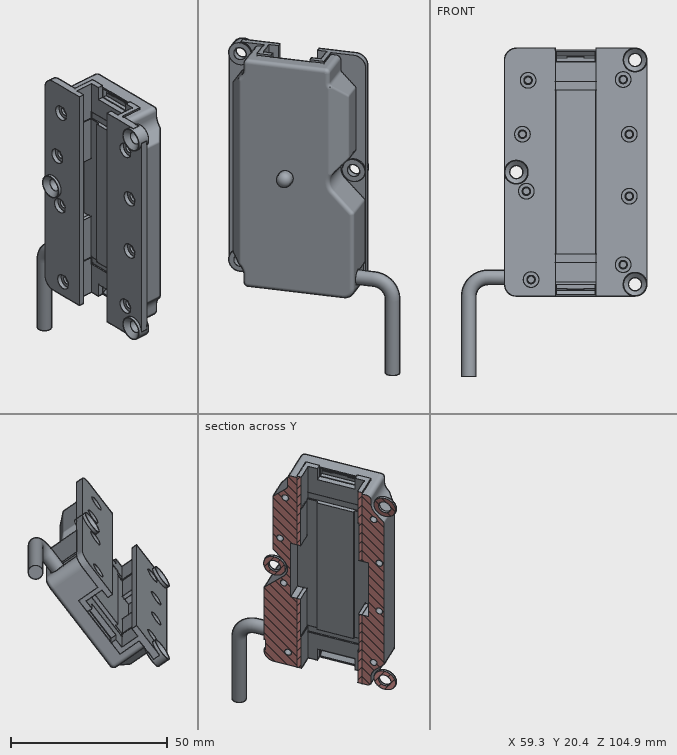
import cadquery as cq
import math


LENGTH = 79.25
HALF_LENGTH = LENGTH / 2
HALF_WIDTH = 22.8
FLANGE_THICKNESS = 2.4
LIP_THICKNESS = 1.85
SLOT_HALF_WIDTH = 6.5
CHANNEL_HALF_WIDTH = 9.65
CHANNEL_FLOOR = 8.15
BRACKET_BACK = 10.0
BRACKET_OUTER_HALF_WIDTH = 11.2
CORNER_RADIUS = 4.0
WALL_RELIEF_HALF_WIDTH = 9.95
WALL_RELIEF_HALF_LENGTH = 26.4
FLOOR_WINDOW_HALF_LENGTH = 28.9
SIDE_WINDOW_HALF_LENGTH = 11.0
END_NOTCH_HALF_WIDTH = 6.45
END_NOTCH_START = 35.1

BUSHING_RADIUS = 3.8
BUSHING_X = 18.95
BUSHING_Z = 35.8
BUSHING_FRONT = -1.05
BUSHING_BACK = 3.15
BUSHING_HOLE_RADIUS = 2.05
COUNTERSINK_RADIUS = 3.65
COUNTERSINK_DEPTH = COUNTERSINK_RADIUS - BUSHING_HOLE_RADIUS
BUSHING_CENTERS = [(-BUSHING_X, 0), (BUSHING_X, BUSHING_Z), (BUSHING_X, -BUSHING_Z)]

COUNTERBORE_RADIUS = 2.5
COUNTERBORE_DEPTH = 1.5
SCREW_HOLE_RADIUS = 1.35
PILOT_RADIUS = 1.1
PILOT_DEPTH = 6.0
SCREW_CENTERS = [
    (-15.2, 29.3), (-17.0, 12.1), (-15.75, -6.1), (-14.25, -34.3),
    (15.15, 29.55), (17.1, 12.1), (17.1, -7.7), (15.15, -29.55),
]

HOUSING_BACK = 15.1
HOUSING_TOP = 39.0
HOUSING_BOTTOM = -HALF_LENGTH
HOUSING_MIDDLE = (HOUSING_TOP + HOUSING_BOTTOM) / 2
HOUSING_LEFT = 22.6
LEFT_NECK = 14.5
RIGHT_NECK = 14.3
LEFT_BULGE = 19.6
RIGHT_BULGE = 18.8
BULGE_TOP = 28.6
LEFT_RELIEF_RADIUS = BUSHING_X - LEFT_NECK
RIGHT_RELIEF_RADIUS = BUSHING_X - RIGHT_NECK
TOP_CORNER_RADIUS = 1.5
BOTTOM_CORNER_RADIUS = 3.5
BULGE_EDGE_RADIUS = 1.0
REAR_EDGE_RADIUS = 1.3
RIGHT_BEVEL_START = 15.3

GROOVE_FACE = 8.7
PANEL_HALF_LENGTH = 26.15
PAD_HALF_WIDTH = 6.35
PAD_FACE = 7.35
SIDE_POCKET_HALF_WIDTH = 13.3

POCKET_HALF_WIDTH = 6.2
POCKET_DEPTH = 1.4
POCKET_MOUTH_END = 38.5
POCKET_START = 35.3
CONTACT_SLOT_CENTER = 36.75
CONTACT_SLOT_HEIGHT = 0.6
CONTACT_SLOT_DEPTH = 0.5
CONTACT_BRIDGE_HALF_WIDTH = 2.7
CONTACT_BRIDGE_HEIGHT = 0.3

CABLE_RADIUS = 2.35
CABLE_Y = 10.25
CABLE_Z = -33.6
CABLE_BEND_RADIUS = 6.1
CABLE_LEFT = -36.5
CABLE_BOTTOM = -65.315
CABLE_SEAT_RADIUS = 2.6
CABLE_SEAT_DEPTH = 0.5
CABLE_SLOT_HALF_HEIGHT = 2.1

DOME_RADIUS = 2.5
DOME_TOP = 19.33


def block(x0, x1, y0, y1, z0, z1):
    return cq.Workplane("XY").box(x1 - x0, y1 - y0, z1 - z0, centered=False).translate((x0, y0, z0))


def centered_block(half_width, y0, y1, half_length):
    return block(-half_width, half_width, y0, y1, -half_length, half_length)


def rod_y(center, radius, y0, y1):
    """Cylinder along Y at an (x, z) center."""
    x, z = center
    return cq.Workplane(cq.Solid.makeCylinder(radius, y1 - y0, cq.Vector(x, y0, z), cq.Vector(0, 1, 0)))


def prism_y(outline, y0, y1):
    """Extrude an outline drawn on the XZ plane from y0 to y1."""
    return outline.extrude(-(y1 - y0)).translate((0, y0, 0))


def make_bracket():
    outer_half = [
        (SLOT_HALF_WIDTH, 0), (HALF_WIDTH, 0), (HALF_WIDTH, FLANGE_THICKNESS),
        (BRACKET_OUTER_HALF_WIDTH, FLANGE_THICKNESS), (BRACKET_OUTER_HALF_WIDTH, BRACKET_BACK),
    ]
    inner_half = [
        (CHANNEL_HALF_WIDTH, CHANNEL_FLOOR), (CHANNEL_HALF_WIDTH, LIP_THICKNESS),
        (SLOT_HALF_WIDTH, LIP_THICKNESS),
    ]
    right_side = inner_half + outer_half
    left_side = [(-x, y) for x, y in reversed(right_side)]
    body = cq.Workplane("XY").polyline(right_side + left_side).close().extrude(LENGTH)
    body = body.translate((0, 0, -HALF_LENGTH))
    for z in (-HALF_LENGTH, HALF_LENGTH):
        left_corner = cq.NearestToPointSelector((-HALF_WIDTH, FLANGE_THICKNESS / 2, z))
        body = body.edges("|Y").edges(left_corner).fillet(CORNER_RADIUS)
    for z0, z1 in ((BUSHING_Z, HALF_LENGTH), (-HALF_LENGTH, -BUSHING_Z)):
        body = body.cut(block(BUSHING_X, HALF_WIDTH, 0, FLANGE_THICKNESS, z0, z1))

    body = body.cut(centered_block(
        WALL_RELIEF_HALF_WIDTH, LIP_THICKNESS, CHANNEL_FLOOR, WALL_RELIEF_HALF_LENGTH))
    body = body.cut(centered_block(
        WALL_RELIEF_HALF_WIDTH, CHANNEL_FLOOR, BRACKET_BACK, FLOOR_WINDOW_HALF_LENGTH))
    body = body.cut(centered_block(
        BRACKET_OUTER_HALF_WIDTH, FLANGE_THICKNESS, BRACKET_BACK, SIDE_WINDOW_HALF_LENGTH))
    for z0, z1 in ((END_NOTCH_START, HALF_LENGTH), (-HALF_LENGTH, -END_NOTCH_START)):
        body = body.cut(block(
            -END_NOTCH_HALF_WIDTH, END_NOTCH_HALF_WIDTH, CHANNEL_FLOOR, BRACKET_BACK, z0, z1))
    for center in SCREW_CENTERS:
        body = body.cut(rod_y(center, SCREW_HOLE_RADIUS, 0, FLANGE_THICKNESS))
        body = body.cut(rod_y(center, COUNTERBORE_RADIUS, 0, COUNTERBORE_DEPTH))
    for center in BUSHING_CENTERS:
        body = body.cut(rod_y(center, BUSHING_RADIUS, 0, FLANGE_THICKNESS))
    return body


def make_bushing(center):
    x, z = center
    profile = [
        (BUSHING_HOLE_RADIUS, BUSHING_FRONT + COUNTERSINK_DEPTH), (COUNTERSINK_RADIUS, BUSHING_FRONT),
        (BUSHING_RADIUS, BUSHING_FRONT), (BUSHING_RADIUS, BUSHING_BACK), (BUSHING_HOLE_RADIUS, BUSHING_BACK),
    ]
    ring = cq.Workplane("XY").polyline(profile).close().revolve(360, (0, 0), (0, 1))
    return ring.translate((x, 0, z))


def make_housing_shell():
    """Solid outer form with 45-degree flanks and round reliefs around the bushings."""
    left_offset = LEFT_RELIEF_RADIUS * math.sqrt(0.5)
    left_arc_x = BUSHING_X - left_offset
    lower_slope_end = -left_offset - (HOUSING_LEFT - left_arc_x)
    left_bulge_bottom = left_offset + LEFT_BULGE - left_arc_x
    left_bulge_neck = BULGE_TOP + LEFT_BULGE - LEFT_NECK

    right_offset = RIGHT_RELIEF_RADIUS * math.sqrt(0.5)
    right_arc_x = BUSHING_X - right_offset
    right_arc_z = BUSHING_Z - right_offset
    right_bulge_end = right_arc_z - (RIGHT_BULGE - right_arc_x)
    right_middle_x = BUSHING_X - RIGHT_RELIEF_RADIUS * math.cos(math.pi / 8)
    right_middle_z = BUSHING_Z - RIGHT_RELIEF_RADIUS * math.sin(math.pi / 8)
    outline = (
        cq.Workplane("XZ")
        .moveTo(-HOUSING_LEFT, HOUSING_BOTTOM)
        .lineTo(-HOUSING_LEFT, lower_slope_end)
        .lineTo(-left_arc_x, -left_offset)
        .threePointArc((-LEFT_NECK, 0), (-left_arc_x, left_offset))
        .lineTo(-LEFT_BULGE, left_bulge_bottom)
        .lineTo(-LEFT_BULGE, BULGE_TOP)
        .lineTo(-LEFT_NECK, left_bulge_neck)
        .lineTo(-LEFT_NECK, HOUSING_TOP)
        .lineTo(RIGHT_NECK, HOUSING_TOP)
        .lineTo(RIGHT_NECK, BUSHING_Z)
        .threePointArc((right_middle_x, right_middle_z), (right_arc_x, right_arc_z))
        .lineTo(RIGHT_BULGE, right_bulge_end)
        .lineTo(RIGHT_BULGE, -right_bulge_end)
        .lineTo(right_arc_x, -right_arc_z)
        .threePointArc((right_middle_x, -right_middle_z), (RIGHT_NECK, -BUSHING_Z))
        .lineTo(RIGHT_NECK, HOUSING_BOTTOM)
        .close()
    )
    shell = prism_y(outline, FLANGE_THICKNESS, HOUSING_BACK)
    rounded_corners = [
        (-HOUSING_LEFT, HOUSING_BOTTOM, BOTTOM_CORNER_RADIUS),
        (-HOUSING_LEFT, lower_slope_end, REAR_EDGE_RADIUS),
        (-LEFT_BULGE, left_bulge_bottom, BULGE_EDGE_RADIUS),
        (-LEFT_BULGE, BULGE_TOP, BULGE_EDGE_RADIUS),
        (-LEFT_NECK, left_bulge_neck, TOP_CORNER_RADIUS),
        (-LEFT_NECK, HOUSING_TOP, TOP_CORNER_RADIUS),
        (RIGHT_NECK, HOUSING_TOP, TOP_CORNER_RADIUS),
        (RIGHT_NECK, HOUSING_BOTTOM, TOP_CORNER_RADIUS),
        (RIGHT_BULGE, right_bulge_end, BULGE_EDGE_RADIUS),
        (RIGHT_BULGE, -right_bulge_end, BULGE_EDGE_RADIUS),
    ]
    middle_y = (FLANGE_THICKNESS + HOUSING_BACK) / 2
    for x, z, radius in rounded_corners:
        shell = shell.edges("|Y").edges(cq.NearestToPointSelector((x, middle_y, z))).fillet(radius)
    return shell.faces(">Y").edges().fillet(REAR_EDGE_RADIUS)


def bulge_bevel(side, start, z0, z1):
    """45-degree cutter for the rear edge of a bulge; side is -1 (left) or +1 (right)."""
    reach = HALF_WIDTH - start
    triangle = [
        (side * start, HOUSING_BACK), (side * HALF_WIDTH, HOUSING_BACK),
        (side * HALF_WIDTH, HOUSING_BACK - reach),
    ]
    return cq.Workplane("XY").polyline(triangle).close().extrude(z1 - z0).translate((0, 0, z0))


def contact_pocket():
    """Pocket at the upper end with a 45-degree outer wall and a contact slot in its floor."""
    floor = BRACKET_BACK + POCKET_DEPTH
    section = [
        (BRACKET_BACK, POCKET_START), (floor, POCKET_START),
        (floor, POCKET_MOUTH_END - POCKET_DEPTH), (BRACKET_BACK, POCKET_MOUTH_END),
    ]
    pocket = cq.Workplane("YZ").polyline(section).close().extrude(POCKET_HALF_WIDTH, both=True)
    slot_bottom = CONTACT_SLOT_CENTER - CONTACT_SLOT_HEIGHT / 2
    slot = block(
        -POCKET_HALF_WIDTH, POCKET_HALF_WIDTH, floor, floor + CONTACT_SLOT_DEPTH,
        slot_bottom, slot_bottom + CONTACT_SLOT_HEIGHT)
    bridge = block(
        -CONTACT_BRIDGE_HALF_WIDTH, CONTACT_BRIDGE_HALF_WIDTH, floor, floor + CONTACT_SLOT_DEPTH,
        slot_bottom, slot_bottom + CONTACT_BRIDGE_HEIGHT)
    return pocket.union(slot.cut(bridge))


def cable_seat():
    """Shallow round seat and narrower slot in the left wall, open toward the flange."""
    x0 = -HOUSING_LEFT
    x1 = x0 + CABLE_SEAT_DEPTH
    slot = block(
        x0, x1, FLANGE_THICKNESS, CABLE_Y, CABLE_Z - CABLE_SLOT_HALF_HEIGHT,
        CABLE_Z + CABLE_SLOT_HALF_HEIGHT)
    round_end = cq.Workplane(cq.Solid.makeCylinder(
        CABLE_SEAT_RADIUS, CABLE_SEAT_DEPTH, cq.Vector(x0, CABLE_Y, CABLE_Z), cq.Vector(1, 0, 0)))
    return slot.union(round_end)


def make_housing():
    body = make_housing_shell()
    body = body.cut(bulge_bevel(-1, LEFT_NECK, 0, HALF_LENGTH))
    body = body.cut(bulge_bevel(1, RIGHT_BEVEL_START, -HALF_LENGTH, HALF_LENGTH))
    left_bevel_edge = (-LEFT_BULGE, HOUSING_BACK - (LEFT_BULGE - LEFT_NECK), BULGE_TOP / 2)
    right_bevel_edge = (RIGHT_BULGE, HOUSING_BACK - (RIGHT_BULGE - RIGHT_BEVEL_START), 0)
    for edge_center in (left_bevel_edge, right_bevel_edge):
        body = body.edges(cq.NearestToPointSelector(edge_center)).fillet(BULGE_EDGE_RADIUS)
    body = body.cut(centered_block(
        BRACKET_OUTER_HALF_WIDTH, FLANGE_THICKNESS, BRACKET_BACK, HALF_LENGTH))

    body = body.union(centered_block(
        WALL_RELIEF_HALF_WIDTH, GROOVE_FACE, BRACKET_BACK, FLOOR_WINDOW_HALF_LENGTH))
    body = body.union(centered_block(
        WALL_RELIEF_HALF_WIDTH, CHANNEL_FLOOR, BRACKET_BACK, PANEL_HALF_LENGTH))
    body = body.union(centered_block(
        PAD_HALF_WIDTH, PAD_FACE, BRACKET_BACK, PANEL_HALF_LENGTH))
    body = body.union(centered_block(
        BRACKET_OUTER_HALF_WIDTH, CHANNEL_FLOOR, BRACKET_BACK, SIDE_WINDOW_HALF_LENGTH))
    for x0, x1 in ((-SIDE_POCKET_HALF_WIDTH, -BRACKET_OUTER_HALF_WIDTH),
                   (BRACKET_OUTER_HALF_WIDTH, SIDE_POCKET_HALF_WIDTH)):
        body = body.cut(block(
            x0, x1, FLANGE_THICKNESS, CHANNEL_FLOOR, -SIDE_WINDOW_HALF_LENGTH, SIDE_WINDOW_HALF_LENGTH))

    upper_pocket = contact_pocket()
    body = body.cut(upper_pocket).cut(upper_pocket.mirror("XY", (0, 0, HOUSING_MIDDLE)))
    body = body.cut(cable_seat())
    for center in SCREW_CENTERS:
        body = body.cut(rod_y(center, PILOT_RADIUS, FLANGE_THICKNESS, FLANGE_THICKNESS + PILOT_DEPTH))
    return body


def make_cable():
    center_x = CABLE_LEFT + CABLE_RADIUS
    bend_x = center_x + CABLE_BEND_RADIUS
    bend_z = CABLE_Z - CABLE_BEND_RADIUS
    bend_middle = (
        bend_x - CABLE_BEND_RADIUS * math.sqrt(0.5),
        bend_z + CABLE_BEND_RADIUS * math.sqrt(0.5),
    )
    path = (
        cq.Workplane("XZ", origin=(0, CABLE_Y, 0))
        .moveTo(center_x, CABLE_BOTTOM)
        .lineTo(center_x, bend_z)
        .threePointArc(bend_middle, (bend_x, CABLE_Z))
        .lineTo(CABLE_SEAT_DEPTH - HOUSING_LEFT, CABLE_Z)
    )
    section = cq.Workplane("XY", origin=(center_x, CABLE_Y, CABLE_BOTTOM)).circle(CABLE_RADIUS)
    return section.sweep(path)


def make_dome():
    shoulder = DOME_TOP - DOME_RADIUS
    ball = cq.Workplane("XY").sphere(DOME_RADIUS).translate((0, shoulder, 0))
    cap = ball.intersect(rod_y((0, 0), DOME_RADIUS, shoulder, DOME_TOP))
    return rod_y((0, 0), DOME_RADIUS, HOUSING_BACK, shoulder).union(cap)


bracket = make_bracket()
housing = make_housing()
cable = make_cable()
dome = make_dome()
bushings = [make_bushing(center) for center in BUSHING_CENTERS]

result = cq.Compound.makeCompound([
    bracket.val(),
    housing.val(),
    cable.val(),
    dome.val(),
    *[bushing.val() for bushing in bushings],
])